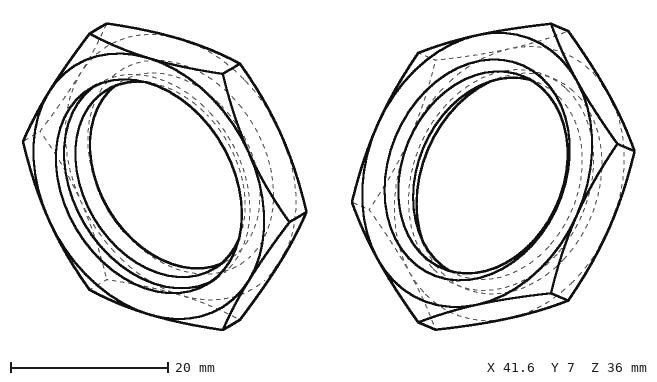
import cadquery as cq
import math

side_count = 6
across_flats = 36.0
thickness = 7.0
bore_diameter = 26.5
counterbore_diameter = 29.0
counterbore_depth = 1.8
counterbore_floor_angle = 30.0
rear_countersink_diameter = 29.0
rear_countersink_angle = 45.0
corner_chamfer_angle = 30.0

half_thickness = thickness / 2
bore_radius = bore_diameter / 2
counterbore_radius = counterbore_diameter / 2
rear_countersink_radius = rear_countersink_diameter / 2
face_radius = across_flats / 2
across_corners = across_flats / math.cos(math.pi / side_count)
corner_radius = across_corners / 2


def cone_depth(outer_radius, inner_radius, angle):
    """Axial length of a cone between two radii, its slope measured from the end face."""
    return (outer_radius - inner_radius) * math.tan(math.radians(angle))


def make_hexagon():
    """Hexagonal prism with corners on the X axis and flats facing up and down."""
    return (
        cq.Workplane("XZ")
        .polygon(side_count, across_corners)
        .extrude(half_thickness, both=True)
    )


def make_turned_body():
    """Ring about Y carrying the corner chamfers, the bore, its front counterbore and rear countersink."""
    corner_drop = cone_depth(corner_radius, face_radius, corner_chamfer_angle)
    floor_drop = cone_depth(counterbore_radius, bore_radius, counterbore_floor_angle)
    rear_drop = cone_depth(rear_countersink_radius, bore_radius, rear_countersink_angle)
    floor_edge = -half_thickness + counterbore_depth
    profile = [
        (bore_radius, floor_edge + floor_drop),
        (counterbore_radius, floor_edge),
        (counterbore_radius, -half_thickness),
        (face_radius, -half_thickness),
        (corner_radius, -half_thickness + corner_drop),
        (corner_radius, half_thickness - corner_drop),
        (face_radius, half_thickness),
        (rear_countersink_radius, half_thickness),
        (bore_radius, half_thickness - rear_drop),
    ]
    return (
        cq.Workplane("XY")
        .polyline(profile)
        .close()
        .revolve(360, (0, 0, 0), (0, 1, 0))
    )


result = make_hexagon().intersect(make_turned_body())